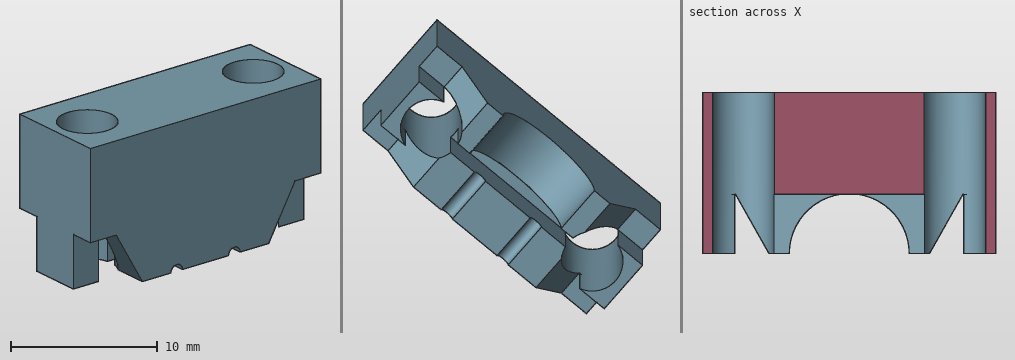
import cadquery as cq

width = 7.8
length = 20.0
height = 11.0
relief_height = 4.05

saddle_top_length = 15.52
saddle_bottom_length = 10.95

leg_width = 4.05
leg_thickness = 2.2

hole_diameter = 4.2
hole_spacing = 14.4

saddle_gap = 0.8

arch_radius = 4.08

groove_radius = 0.5
groove_spacing = 5.0


def bar_along_x(radius, y_center, x_start, x_length):
    """Round bar parallel to X with its axis on the underside plane."""
    return (
        cq.Workplane("YZ", origin=(x_start, 0, 0))
        .center(y_center, 0)
        .circle(radius)
        .extrude(x_length)
    )


block = cq.Workplane("XY", origin=(0, 0, relief_height)).box(
    width, length, height - relief_height, centered=(True, True, False)
)

saddle_thickness = (width - saddle_gap) / 2
front_saddle_start = -width / 2
rear_saddle_start = saddle_gap / 2


def tapered_saddle(x_start):
    """Trapezoidal slab whose -X face lies at x_start."""
    return (
        cq.Workplane("YZ", origin=(x_start, 0, 0))
        .polyline([
            (-saddle_bottom_length / 2, 0),
            (saddle_bottom_length / 2, 0),
            (saddle_top_length / 2, relief_height),
            (-saddle_top_length / 2, relief_height),
        ])
        .close()
        .extrude(saddle_thickness)
    )


body = block
for x_start in (front_saddle_start, rear_saddle_start):
    body = body.union(tapered_saddle(x_start))

for side in (-1, 1):
    leg = cq.Workplane("XY", origin=(0, side * (length - leg_thickness) / 2, 0)).box(
        leg_width, leg_thickness, relief_height, centered=(True, True, False)
    )
    body = body.union(leg)

for side in (-1, 1):
    bolt_hole = (
        cq.Workplane("XY")
        .center(0, side * hole_spacing / 2)
        .circle(hole_diameter / 2)
        .extrude(height)
    )
    body = body.cut(bolt_hole)

body = body.cut(bar_along_x(arch_radius, 0, front_saddle_start, saddle_thickness))

for side in (-1, 1):
    groove_y = side * groove_spacing / 2
    body = body.cut(bar_along_x(groove_radius, groove_y, rear_saddle_start, saddle_thickness))

result = body